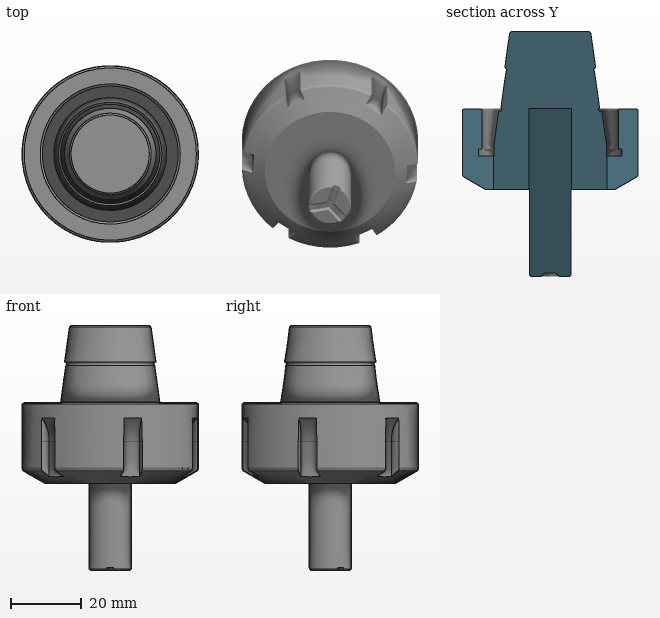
import cadquery as cq
import math


nut_radius = 25.0
nut_bottom = 24.65
nut_top = 47.55
nose_angle = 30.0
nose_height = 3.8
nose_blend_radius = 1.0
thread_bore_radius = 38.5 / 2
relief_radius = 40.5 / 2
relief_height = 1.9
nut_floor = 34.2
rim_chamfer_width = 0.6
rim_chamfer_height = rim_chamfer_width * math.tan(math.radians(30))

slot_count = 6
first_slot_angle = 45.0
slot_width = 5.5
slot_top_width = 5.1
slot_floor_radius = 21.75
slot_runout_start = 36.6
slot_top = 43.25

collet_radius = 16.0
collet_top = 69.45
taper_bottom = 37.5
taper_angle = 8.0
top_chamfer = 0.5
waist_depth = 0.5
waist_bottom = 47.15
lower_groove_height = 0.6
lower_groove_radius = 13.8
waist_top = 59.1
upper_groove_height = 1.0
upper_groove_radius = 12.4

shank_radius = 6.0
shank_top = nut_top
shank_chamfer = 0.5

gash_count = 3
first_gash_angle = 30.0
gash_depth = 0.9
gash_roof_width = 1.5
gash_wall_angle = 30.0


def revolve(profile):
    """Turn a closed (radius, height) outline in the XZ plane around the Z axis."""
    return profile.close().revolve(360, (0, 0, 0), (0, 1, 0))


def taper_radius(height):
    """Radius of the collet's taper at a height."""
    return collet_radius - (height - taper_bottom) * math.tan(math.radians(taper_angle))


def make_slot_cutter():
    """One wrench slot along +X: its flat floor curves outward and its walls close in at the top."""
    depth = nut_radius - slot_floor_radius
    rise = slot_top - slot_runout_start
    runout_radius = (rise**2 + depth**2) / (2 * depth)
    half_sweep = math.asin(rise / runout_radius) / 2
    arc_middle = (
        slot_floor_radius + runout_radius * (1 - math.cos(half_sweep)),
        slot_runout_start + runout_radius * math.sin(half_sweep),
    )
    outside = nut_radius + depth
    side_shape = (
        cq.Workplane("XZ")
        .moveTo(slot_floor_radius, nut_bottom)
        .lineTo(slot_floor_radius, slot_runout_start)
        .threePointArc(arc_middle, (nut_radius, slot_top))
        .lineTo(outside, slot_top)
        .lineTo(outside, nut_bottom)
        .close()
        .extrude(slot_width, both=True)
    )
    face_shape = (
        cq.Workplane("YZ")
        .moveTo(-slot_width / 2, nut_bottom)
        .lineTo(-slot_width / 2, slot_runout_start)
        .lineTo(-slot_top_width / 2, slot_top)
        .lineTo(slot_top_width / 2, slot_top)
        .lineTo(slot_width / 2, slot_runout_start)
        .lineTo(slot_width / 2, nut_bottom)
        .close()
        .extrude(outside)
    )
    return side_shape.intersect(face_shape)


def make_nut():
    nose_top = nut_bottom + nose_height
    nose_radius = nut_radius - nose_height / math.tan(math.radians(nose_angle))
    blend_angle = math.radians(90 - nose_angle)
    blend_start = nose_top + nose_blend_radius * math.tan(blend_angle / 2)
    blend_center_radius = nut_radius - nose_blend_radius

    def blend_point(angle):
        return (
            blend_center_radius + nose_blend_radius * math.cos(angle),
            blend_start - nose_blend_radius * math.sin(angle),
        )

    relief_top = nut_floor + relief_height
    rim_bottom = nut_top - rim_chamfer_height
    nut = revolve(
        cq.Workplane("XZ")
        .moveTo(collet_radius, nut_bottom)
        .lineTo(nose_radius, nut_bottom)
        .lineTo(*blend_point(blend_angle))
        .threePointArc(blend_point(blend_angle / 2), blend_point(0))
        .lineTo(nut_radius, rim_bottom)
        .lineTo(nut_radius - rim_chamfer_width, nut_top)
        .lineTo(thread_bore_radius + rim_chamfer_width, nut_top)
        .lineTo(thread_bore_radius, rim_bottom)
        .lineTo(thread_bore_radius, relief_top)
        .lineTo(relief_radius, relief_top)
        .lineTo(relief_radius, nut_floor)
        .lineTo(collet_radius, nut_floor)
    )
    slot_cutter = make_slot_cutter()
    for index in range(slot_count):
        angle = first_slot_angle + index * 360 / slot_count
        nut = nut.cut(slot_cutter.rotate((0, 0, 0), (0, 0, 1), angle))
    return nut


def make_collet():
    waist_lower = waist_bottom + lower_groove_height
    waist_upper = waist_top - upper_groove_height
    lower_groove_middle = (lower_groove_radius, waist_bottom + lower_groove_height / 2)
    upper_groove_middle = (upper_groove_radius, waist_top - upper_groove_height / 2)
    chamfer_bottom = collet_top - top_chamfer
    chamfer_radius = taper_radius(chamfer_bottom)
    return revolve(
        cq.Workplane("XZ")
        .moveTo(shank_radius, nut_bottom)
        .lineTo(collet_radius, nut_bottom)
        .lineTo(collet_radius, taper_bottom)
        .lineTo(taper_radius(waist_bottom), waist_bottom)
        .threePointArc(
            lower_groove_middle,
            (taper_radius(waist_lower) - waist_depth, waist_lower),
        )
        .lineTo(taper_radius(waist_upper) - waist_depth, waist_upper)
        .threePointArc(upper_groove_middle, (taper_radius(waist_top), waist_top))
        .lineTo(chamfer_radius, chamfer_bottom)
        .lineTo(chamfer_radius - top_chamfer, collet_top)
        .lineTo(0, collet_top)
        .lineTo(0, shank_top)
        .lineTo(shank_radius, shank_top)
    )


def make_shank():
    shank = revolve(
        cq.Workplane("XZ")
        .lineTo(shank_radius - shank_chamfer, 0)
        .lineTo(shank_radius, shank_chamfer)
        .lineTo(shank_radius, shank_top)
        .lineTo(0, shank_top)
    )
    half_roof = gash_roof_width / 2
    half_mouth = half_roof + gash_depth * math.tan(math.radians(gash_wall_angle))
    gash_cutter = (
        cq.Workplane("YZ")
        .moveTo(-half_mouth, 0)
        .lineTo(-half_roof, gash_depth)
        .lineTo(half_roof, gash_depth)
        .lineTo(half_mouth, 0)
        .close()
        .extrude(2 * shank_radius)
    )
    for index in range(gash_count):
        angle = first_gash_angle + index * 360 / gash_count
        shank = shank.cut(gash_cutter.rotate((0, 0, 0), (0, 0, 1), angle))
    return shank


nut = make_nut()
collet = make_collet()
shank = make_shank()

result = cq.Compound.makeCompound([nut.val(), collet.val(), shank.val()])